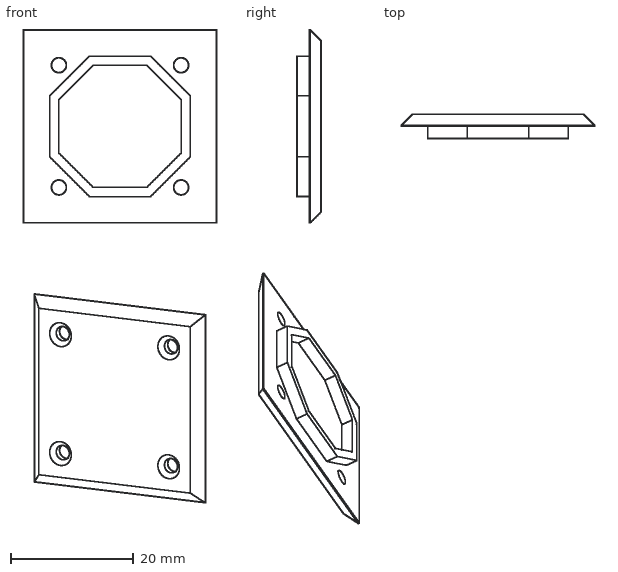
import cadquery as cq
import math

plate_side = 31.6
plate_thickness = 2.0
rim_thickness = 0.2
bevel = plate_thickness - rim_thickness

wall_height = 2.0
wall_thickness = 1.5
octagon_width = 23.0
octagon_corner_cut = 6.5
recess_depth = wall_height

hole_diameter = 2.4
countersink_diameter = 4.0
countersink_angle = 90.0
hole_spacing = 20.0


def octagon(width, corner_cut):
    """Square outline with its four corners cut at 45 degrees, as a sketch."""
    return cq.Sketch().rect(width, width).vertices().chamfer(corner_cut)


def front_plane(y):
    """XZ workplane at the given Y, extruding toward -Y."""
    return cq.Workplane("XZ", origin=(0, y, 0))


def beveled_plate():
    plate = front_plane(plate_thickness).rect(plate_side, plate_side).extrude(plate_thickness)
    return plate.faces(">Y").chamfer(bevel)


def octagonal_wall():
    return front_plane(0).placeSketch(octagon(octagon_width, octagon_corner_cut)).extrude(wall_height)


def recess():
    cut_reduction = wall_thickness * (2 - math.sqrt(2))
    inner = octagon(octagon_width - 2 * wall_thickness, octagon_corner_cut - cut_reduction)
    return front_plane(recess_depth - wall_height).placeSketch(inner).extrude(recess_depth)


def add_screw_holes(body):
    return (
        body.faces(">Y")
        .workplane(origin=(0, plate_thickness, 0))
        .rarray(hole_spacing, hole_spacing, 2, 2)
        .cskHole(hole_diameter, countersink_diameter, countersink_angle, depth=plate_thickness)
    )


result = add_screw_holes(beveled_plate().union(octagonal_wall()).cut(recess()))